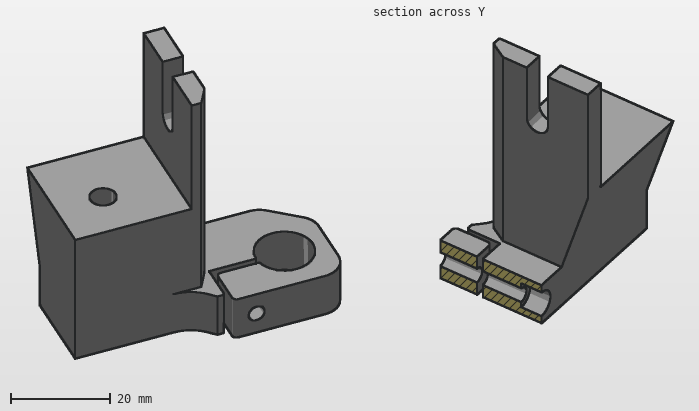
import cadquery as cq


base_height = 10.0
base_length = 57.0
clamp_right = 25.0
clamp_bottom = 32.0
shoulder_x = 7.5
shoulder_y = 47.8
outer_radius = 5.0
jaw_radius = 1.0

bore_x = 14.5
bore_y = 47.5
bore_diameter = 12.4
gap_width = 1.4
gap_front = 31.0

lug_tip_x = 22.6
lug_tip_y = 29.4
lug_tip_radius = 0.5
lug_root_radius = 9.0

screw_y = 37.0
screw_diameter = 3.5
screw_head_diameter = 6.1
screw_head_depth = 5.0

block_right = 18.5
block_length = 30.0
block_top = 31.0
overhang = 6.5
mount_hole_x = 8.0
mount_hole_y = 10.5
mount_hole_diameter = 5.5

plate_top = 58.0
plate_thickness = 4.5
slot_width = 5.2
slot_centre_z = 45.0
relief_x = 4.0
relief_y = 2.4


def make_base():
    """Base outline with the clamp bore and gap, all of one height."""
    flank_start_y = lug_tip_y - (lug_tip_x - block_right)
    body = (
        cq.Workplane("XY")
        .polyline([
            (0, 0),
            (block_right, 0),
            (block_right, flank_start_y),
            (lug_tip_x, lug_tip_y),
            (lug_tip_x, gap_front),
            (bore_x, gap_front),
            (bore_x, bore_y),
            (bore_x + gap_width, bore_y),
            (bore_x + gap_width, clamp_bottom),
            (clamp_right, clamp_bottom),
            (clamp_right, base_length),
            (shoulder_x, base_length),
            (0, shoulder_y),
        ])
        .close()
        .extrude(base_height)
    )
    rounded_corners = [
        (block_right, flank_start_y, lug_root_radius),
        (lug_tip_x, gap_front, lug_tip_radius),
        (bore_x + gap_width, clamp_bottom, jaw_radius),
        (clamp_right, clamp_bottom, jaw_radius),
        (clamp_right, base_length, outer_radius),
        (shoulder_x, base_length, outer_radius),
        (0, shoulder_y, outer_radius),
    ]
    for x, y, radius in rounded_corners:
        corner = cq.selectors.NearestToPointSelector((x, y, base_height / 2))
        body = body.edges("|Z").edges(corner).fillet(radius)
    bore = (
        cq.Workplane("XY")
        .center(bore_x, bore_y)
        .circle(bore_diameter / 2)
        .extrude(base_height)
    )
    return body.cut(bore)


def make_block():
    """Block and upright plate, extruded from the front to the rear."""
    block = (
        cq.Workplane("XZ")
        .polyline([
            (0, 0),
            (block_right, 0),
            (block_right, block_top),
            (-overhang, block_top),
            (0, base_height),
        ])
        .close()
        .extrude(-block_length)
    )
    plate = cq.Workplane("XY").box(
        block_right + overhang,
        plate_thickness,
        plate_top - block_top,
        centered=False,
    )
    plate = plate.translate((-overhang, block_length - plate_thickness, block_top))
    return block.union(plate)


def make_corner_relief():
    """Sloped cut on the rear right edge, down to the top of the base."""
    return (
        cq.Workplane("XY", origin=(0, 0, base_height))
        .polyline([
            (block_right, block_length),
            (block_right - relief_x, block_length),
            (block_right, block_length - relief_y),
        ])
        .close()
        .extrude(plate_top - base_height)
    )


def make_plate_slot():
    """Round-bottomed slot, open at the top of the plate."""
    slot_x = (block_right - overhang) / 2
    half_width = slot_width / 2
    return (
        cq.Workplane("XZ", origin=(slot_x, block_length, 0))
        .moveTo(-half_width, plate_top)
        .lineTo(-half_width, slot_centre_z)
        .threePointArc((0, slot_centre_z - half_width), (half_width, slot_centre_z))
        .lineTo(half_width, plate_top)
        .close()
        .extrude(plate_thickness)
    )


def make_mount_hole():
    """Vertical through hole in the block."""
    return (
        cq.Workplane("XY")
        .center(mount_hole_x, mount_hole_y)
        .circle(mount_hole_diameter / 2)
        .extrude(block_top)
    )


def make_screw_hole():
    """Through hole across both jaws, counterbored from the left."""
    left_face = cq.Workplane("YZ").center(screw_y, base_height / 2)
    shank = left_face.circle(screw_diameter / 2).extrude(clamp_right)
    head = left_face.circle(screw_head_diameter / 2).extrude(screw_head_depth)
    return shank.union(head)


result = (
    make_block()
    .cut(make_corner_relief())
    .union(make_base())
    .cut(make_plate_slot())
    .cut(make_mount_hole())
    .cut(make_screw_hole())
)